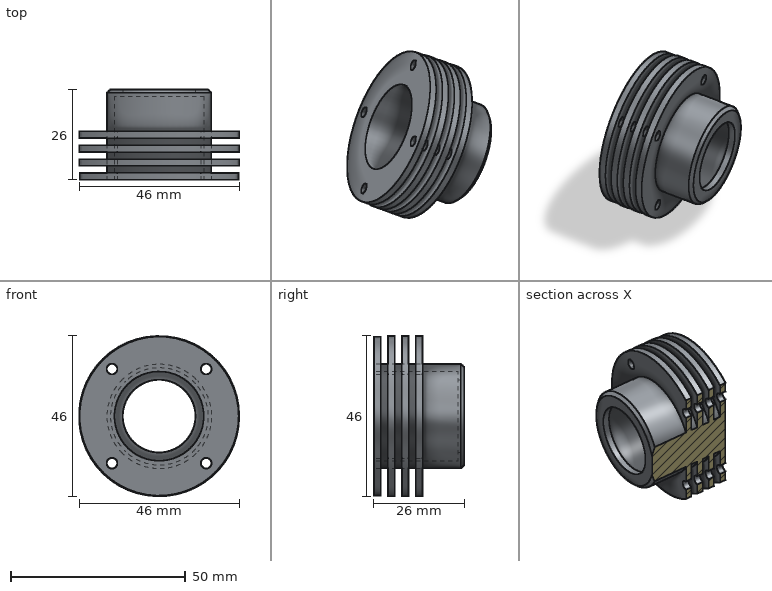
import cadquery as cq

fin_diameter = 46.0
front_flange_diameter = 45.6
fin_pitch = 4.0
fin_thickness = fin_pitch / 2
fin_count = 3

hub_diameter = 30.0
hub_length = 26.0
hub_chamfer = 1.0

bore_diameter = 25.6
rear_opening_diameter = 20.8
rear_lip_thickness = 2.0

bolt_hole_diameter = 3.0
bolt_hole_spacing = 27.0


def disc(diameter, start, length):
    """Cylinder along +Y beginning at Y = start."""
    plane = cq.Workplane("XZ", origin=(0, start, 0))
    return plane.circle(diameter / 2).extrude(-length)


hub = disc(hub_diameter, 0, hub_length).faces(">Y").edges().chamfer(hub_chamfer)

body = hub.union(disc(front_flange_diameter, 0, fin_thickness))
for index in range(1, fin_count + 1):
    body = body.union(disc(fin_diameter, index * fin_pitch, fin_thickness))

body = body.cut(disc(bore_diameter, 0, hub_length - rear_lip_thickness))
body = body.cut(disc(rear_opening_diameter, 0, hub_length))

bolt_holes = (
    cq.Workplane("XZ")
    .rect(bolt_hole_spacing, bolt_hole_spacing, forConstruction=True)
    .vertices()
    .circle(bolt_hole_diameter / 2)
    .extrude(-hub_length)
)
result = body.cut(bolt_holes)